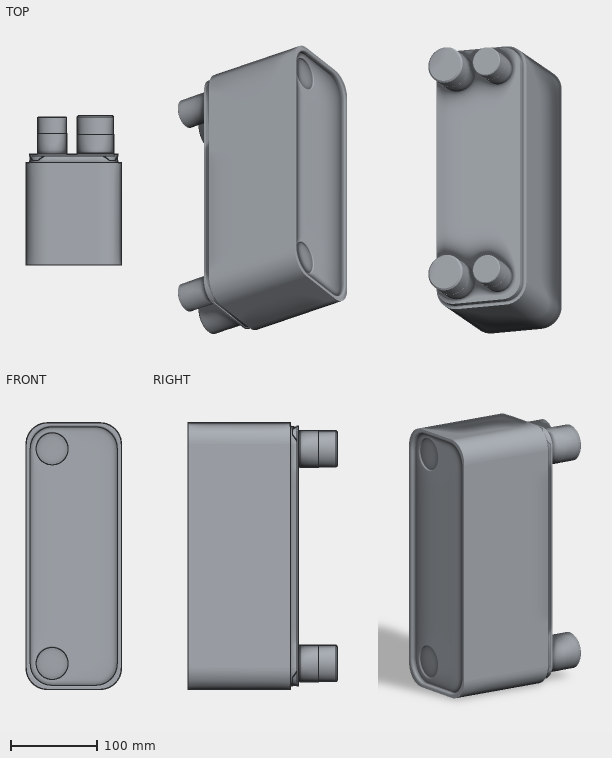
import cadquery as cq
import math


pack_width = 111.0
pack_height = 310.0
pack_depth = 119.0
pack_corner_radius = 25.0

neck_length = 7.5
neck_base_inset = 4.0
neck_end_inset = 5.3
neck_taper = math.degrees(math.atan((neck_end_inset - neck_base_inset) / neck_length))
neck_corner_radius = pack_corner_radius - neck_base_inset

recess_depth = 8.0
recess_inset = 5.0
recess_corner_radius = 25.0
recess_mouth_round = 2.2

cover_thickness = 2.2
dimple_radius = 18.5
dimple_mouth_round = 1.2
rear_cover_y = pack_depth + neck_length
rear_face_y = rear_cover_y + cover_thickness

tab_length = 5.0
tab_root_half_angle = 32.0
tab_tip_half_angle = 13.0

port_offset_x = 25.0
port_offset_z = 124.5
port_step = 0.15
small_port = {
    "radius": 17.0,
    "step_y": 152.5,
    "end_y": 172.0,
    "chamfer": 1.0,
    "foot_height": 0.0,
}
large_port = {
    "radius": 21.5,
    "step_y": 151.5,
    "end_y": 174.0,
    "chamfer": 2.0,
    "foot_height": 1.5,
}


def plane_at(y):
    """Plane across the depth at y, with local x along X, local y along Z and normal along -Y."""
    return cq.Workplane("XZ", origin=(0, y, 0))


def rounded_slab(y_start, depth, inset, corner_radius, taper=0.0):
    """Rounded rectangle, inset from the pack outline, extruded from y_start toward +Y."""
    outline = cq.Sketch().rect(pack_width - 2 * inset, pack_height - 2 * inset)
    outline = outline.vertices().fillet(corner_radius)
    return plane_at(y_start).placeSketch(outline).extrude(-depth, taper=taper)


def port_positions():
    """Connection centres (x, z) with the connection sizes that belong there."""
    return [
        (side * port_offset_x, level * port_offset_z, sizes)
        for side, sizes in ((-1, small_port), (1, large_port))
        for level in (-1, 1)
    ]


def make_plate_pack():
    block = rounded_slab(0, pack_depth, 0, pack_corner_radius)
    recess = rounded_slab(0, recess_depth, recess_inset, recess_corner_radius)
    block = block.cut(recess)
    recess_mouth = block.faces("<Y").wires(cq.selectors.LengthNthSelector(0))
    block = recess_mouth.edges().fillet(recess_mouth_round)
    neck = rounded_slab(pack_depth, neck_length, neck_base_inset, neck_corner_radius, neck_taper)
    return block.union(neck)


def make_front_cover():
    cover_y = recess_depth - cover_thickness
    cover = rounded_slab(cover_y, cover_thickness, recess_inset, recess_corner_radius)
    dimple_centres = [(-port_offset_x, level * port_offset_z) for level in (-1, 1)]
    dimples = plane_at(cover_y).pushPoints(dimple_centres).circle(dimple_radius)
    cover = cover.cut(dimples.extrude(-cover_thickness))
    dimple_rims = cover.faces("<Y").edges(cq.selectors.RadiusNthSelector(0))
    return dimple_rims.fillet(dimple_mouth_round)


def tab_wedge(side, level):
    """Tapering wedge, seen along the corner diagonal, that bounds one corner tab."""
    centre = cq.Vector(
        side * (pack_width / 2 - pack_corner_radius),
        0,
        level * (pack_height / 2 - pack_corner_radius),
    )
    tangent = cq.Vector(side, 0, -level)
    outward = cq.Vector(side, 0, level)
    tab_plane = cq.Plane(origin=centre, xDir=tangent, normal=outward)
    root_half_width = neck_corner_radius * math.sin(math.radians(tab_root_half_angle))
    tip_half_width = neck_corner_radius * math.sin(math.radians(tab_tip_half_angle))
    tip_y = rear_cover_y - tab_length
    depth_sign = tab_plane.yDir.y
    return (
        cq.Workplane(tab_plane)
        .moveTo(-root_half_width, depth_sign * rear_cover_y)
        .lineTo(root_half_width, depth_sign * rear_cover_y)
        .lineTo(tip_half_width, depth_sign * tip_y)
        .lineTo(-tip_half_width, depth_sign * tip_y)
        .close()
        .extrude(pack_corner_radius)
    )


def make_rear_cover(plate_pack):
    cover = rounded_slab(rear_cover_y, cover_thickness, neck_base_inset, neck_corner_radius)
    skirt = rounded_slab(rear_cover_y - tab_length, tab_length, neck_base_inset, neck_corner_radius)
    skirt = skirt.cut(plate_pack)
    for side in (-1, 1):
        for level in (-1, 1):
            cover = cover.union(skirt.intersect(tab_wedge(side, level)))
    return cover


def make_port(x, z, sizes):
    def cylinder(radius, y_start, y_end):
        return plane_at(y_start).center(x, z).circle(radius).extrude(y_start - y_end)

    radius = sizes["radius"]
    recessed_radius = radius - port_step
    foot_end_y = rear_face_y + sizes["foot_height"]
    tip = cylinder(recessed_radius, sizes["step_y"], sizes["end_y"])
    tip = tip.faces(">Y").edges().chamfer(sizes["chamfer"])
    port = tip.union(cylinder(radius, foot_end_y, sizes["step_y"]))
    if sizes["foot_height"] > 0:
        port = port.union(cylinder(recessed_radius, rear_face_y, foot_end_y))
    return port


plate_pack = make_plate_pack()
front_cover = make_front_cover()
rear_cover = make_rear_cover(plate_pack)
ports = [make_port(x, z, sizes) for x, z, sizes in port_positions()]

result = cq.Compound.makeCompound(
    [plate_pack.val(), front_cover.val(), rear_cover.val(), *[port.val() for port in ports]]
)